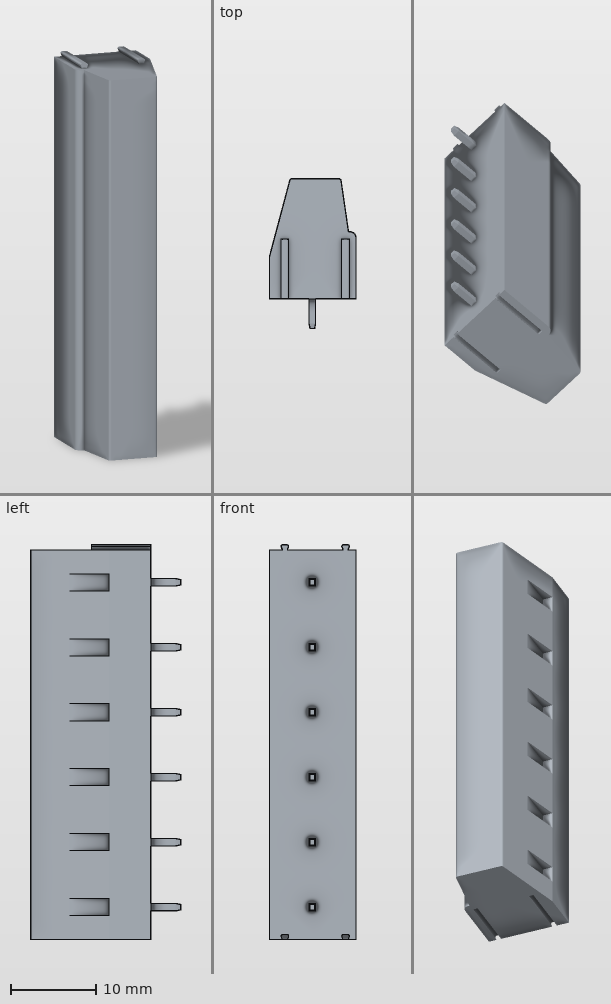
import cadquery as cq


pole_count = 6
pole_pitch = 7.62
body_height = pole_count * pole_pitch

body_width = 10.2
body_depth = 14.1
slope_start_y = 4.9
top_left_x = 2.45
top_right_x = 8.4
ledge_y = 7.9
ledge_inner_x = 9.3
ledge_radius = 0.8
top_edge_radius = 0.3

dovetail_centers_x = (1.83, 8.95)
dovetail_length = 7.0
dovetail_height = 0.6
dovetail_head_width = 0.9
dovetail_neck_width = 0.6
dovetail_corner_radius = 0.2

window_height = 2.0
window_top_y = 9.5

pin_x = 5.05
pin_width = 0.8
pin_height = 0.9
pin_length = 3.5
pin_tip_length = 0.6
pin_tip_taper = 0.125


def pole_heights():
    """Z of the middle of each pole."""
    return [(index + 0.5) * pole_pitch for index in range(pole_count)]


def slope_x(y):
    """X of the sloped -X face at a given Y."""
    return top_left_x * (y - slope_start_y) / (body_depth - slope_start_y)


def make_housing():
    housing = (
        cq.Workplane("XY")
        .moveTo(0, 0)
        .lineTo(body_width, 0)
        .lineTo(body_width, ledge_y - ledge_radius)
        .radiusArc((body_width - ledge_radius, ledge_y), -ledge_radius)
        .lineTo(ledge_inner_x, ledge_y)
        .lineTo(top_right_x, body_depth)
        .lineTo(top_left_x, body_depth)
        .lineTo(0, slope_start_y)
        .close()
        .extrude(body_height)
    )
    return housing.faces(">Y").edges("|Z").fillet(top_edge_radius)


def make_dovetail(center_x, base_z):
    """Round-cornered dovetail bar that runs along +Y from the mounting face, with its neck at base_z."""
    half_neck = dovetail_neck_width / 2
    half_head = dovetail_head_width / 2
    half_top = half_head - dovetail_corner_radius
    top_z = base_z + dovetail_height
    widest_z = top_z - dovetail_corner_radius
    return (
        cq.Workplane("XZ")
        .moveTo(center_x - half_neck, base_z)
        .lineTo(center_x + half_neck, base_z)
        .lineTo(center_x + half_head, widest_z)
        .radiusArc((center_x + half_top, top_z), -dovetail_corner_radius)
        .lineTo(center_x - half_top, top_z)
        .radiusArc((center_x - half_head, widest_z), -dovetail_corner_radius)
        .close()
        .extrude(-dovetail_length)
    )


def make_window(center_z):
    """Wedge between the sloped face and a floor parallel to the YZ plane."""
    floor_x = slope_x(window_top_y)
    return (
        cq.Workplane("XY", origin=(0, 0, center_z - window_height / 2))
        .moveTo(0, slope_start_y)
        .lineTo(floor_x, slope_start_y)
        .lineTo(floor_x, window_top_y)
        .close()
        .extrude(window_height)
    )


def make_pin(center_z):
    """Rectangular pin with a tapered tip, pointing to -Y."""
    shank_length = pin_length - pin_tip_length
    tip_width = pin_width - 2 * pin_tip_taper
    tip_height = pin_height - 2 * pin_tip_taper
    shank = (
        cq.Workplane("XZ", origin=(pin_x, 0, center_z))
        .rect(pin_width, pin_height)
        .extrude(shank_length)
    )
    tip = (
        cq.Workplane("XZ", origin=(pin_x, -shank_length, center_z))
        .rect(pin_width, pin_height)
        .workplane(offset=pin_tip_length)
        .rect(tip_width, tip_height)
        .loft()
    )
    return shank.union(tip)


result = make_housing()

for dovetail_x in dovetail_centers_x:
    result = result.union(make_dovetail(dovetail_x, body_height))
    result = result.cut(make_dovetail(dovetail_x, 0))

for pole_z in pole_heights():
    result = result.cut(make_window(pole_z))
    result = result.union(make_pin(pole_z))